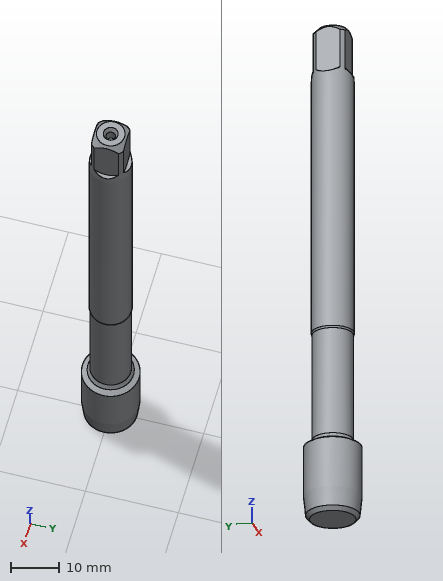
import cadquery as cq
import math

total_length = 110.0

head_diameter = 12.2
head_length = 16.7
head_top_diameter = 9.8
head_shoulder_z = 16.1
lead_top_z = 5.0
lead_bottom_diameter = 11.3
tip_chamfer_height = 0.9
tip_diameter = 9.7

neck_diameter = 8.7
shank_diameter = 9.0
flare_top_z = 17.7
neck_top_z = 41.4
neck_step_height = 0.4
shank_top_z = 97.9
shank_chamfer_height = 2.2

across_flats = 6.9
end_diameter = 5.9
flat_bottom_z = 99.2
flat_runout_radius = 4.0
flat_count = 4

centre_hole_diameter = 2.0
centre_hole_depth = 3.3
countersink_diameter = 3.1
centre_angle = 60.0
drill_point_angle = 118.0


def revolve_profile(stations):
    """Solid of revolution about Z through (diameter, height) stations, starting and ending on the axis."""
    outline = [(diameter / 2, z) for diameter, z in stations]
    return cq.Workplane("XZ").polyline(outline).close().revolve(360, (0, 0, 0), (0, 1, 0))


def make_cutting_head():
    """Cylindrical head with a tapered lead and chamfered ends."""
    return revolve_profile([
        (0, 0),
        (tip_diameter, 0),
        (lead_bottom_diameter, tip_chamfer_height),
        (head_diameter, lead_top_z),
        (head_diameter, head_shoulder_z),
        (head_top_diameter, head_length),
        (0, head_length),
    ])


def make_flat_cutter(index):
    """Block with a round lower end that mills one flat of the square drive."""
    runout_centre_z = flat_bottom_z + flat_runout_radius
    cutter_top_z = total_length + flat_runout_radius
    cutter_thickness = shank_diameter
    cutter = (
        cq.Workplane("YZ", origin=(across_flats / 2, 0, 0))
        .moveTo(-flat_runout_radius, cutter_top_z)
        .lineTo(-flat_runout_radius, runout_centre_z)
        .threePointArc((0, flat_bottom_z), (flat_runout_radius, runout_centre_z))
        .lineTo(flat_runout_radius, cutter_top_z)
        .close()
        .extrude(cutter_thickness)
    )
    return cutter.rotate((0, 0, 0), (0, 0, 1), index * 360 / flat_count)


def make_centre_hole():
    """Countersunk blind hole with a conical drill point."""
    countersink_depth = (
        (countersink_diameter - centre_hole_diameter) / 2 / math.tan(math.radians(centre_angle / 2))
    )
    point_height = centre_hole_diameter / 2 / math.tan(math.radians(drill_point_angle / 2))
    hole_bottom_z = total_length - centre_hole_depth
    return revolve_profile([
        (0, hole_bottom_z - point_height),
        (centre_hole_diameter, hole_bottom_z),
        (centre_hole_diameter, total_length - countersink_depth),
        (countersink_diameter, total_length),
        (0, total_length),
    ])


def make_shank():
    """Neck, cylindrical shank and square drive with a centre hole."""
    end_chamfer = (neck_diameter - end_diameter) / 2
    shank = revolve_profile([
        (0, head_length),
        (head_top_diameter, head_length),
        (neck_diameter, flare_top_z),
        (neck_diameter, neck_top_z),
        (shank_diameter, neck_top_z + neck_step_height),
        (shank_diameter, shank_top_z),
        (neck_diameter, shank_top_z + shank_chamfer_height),
        (neck_diameter, total_length - end_chamfer),
        (end_diameter, total_length),
        (0, total_length),
    ])
    for index in range(flat_count):
        shank = shank.cut(make_flat_cutter(index))
    return shank.cut(make_centre_hole())


cutting_head = make_cutting_head()
shank = make_shank()

result = cq.Compound.makeCompound([cutting_head.val(), shank.val()])